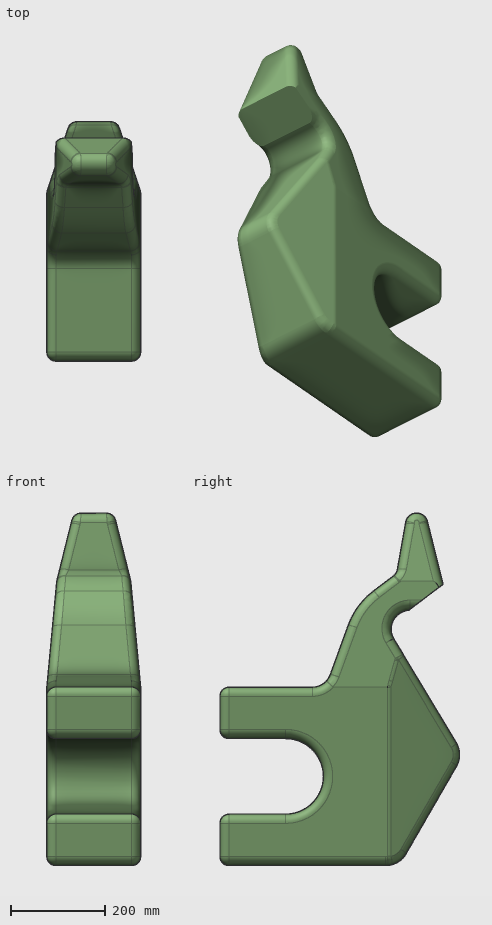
import cadquery as cq
import math

WIDTH = 200.0
DEPTH = 510.0
HEIGHT = 750.0
EDGE_RADIUS = 20.0

ARM_TOP = 380.0
SLOT_BOTTOM = 110.0
SLOT_TOP = 270.0
SLOT_CENTRE_Y = 140.0

NECK_FOOT_Y = 225.0
NECK_FOOT_RADIUS = 40.0
NECK_ANGLE = 70.0
SHOULDER_Z = 556.0
SHOULDER_ANGLE = 37.0
SHOULDER_RADIUS = 160.0

HORN_TIP_RADIUS = 24.0
HORN_TIP_CENTRE = (418.5, HEIGHT - HORN_TIP_RADIUS)
HORN_FRONT_ANGLE = 10.0
HORN_BACK_ANGLE = 14.0
HORN_FOOT_RADIUS = 20.0

HOOK_TOP = 543.0
HOOK_RADIUS = 40.0
HOOK_CENTRE_Z = HOOK_TOP - HOOK_RADIUS
CHIN_POINT = (428.0, 563.0)
CHIN_ANGLE = 37.0

NOSE_RADIUS = 50.0
NOSE_CENTRE = (DEPTH - NOSE_RADIUS, 236.0)
NOSE_UPPER_ANGLE = 31.0
NOSE_LOWER_ANGLE = 30.0
BASE_CORNER_RADIUS = 50.0

WEDGE_START_Y = 360.0
WEDGE_END_WIDTH = 100.0
WEDGE_CREASE_RADIUS = 24.0

HORN_FOOT_Z = 605.0
HORN_FOOT_WIDTH = 158.0
NECK_SIDE_SLOPE = (WIDTH - HORN_FOOT_WIDTH) / 2.0 / (HORN_FOOT_Z - ARM_TOP)
HORN_SIDE_SLOPE = math.tan(math.radians(14.0))

NECK_BASE_WIDTH = WIDTH + 2.0 * ARM_TOP * NECK_SIDE_SLOPE
HORN_BASE_WIDTH = HORN_FOOT_WIDTH + 2.0 * HORN_FOOT_Z * HORN_SIDE_SLOPE

STOCK_HEIGHT = HEIGHT + EDGE_RADIUS

TOLERANCE = 0.01


def direction(angle):
    """Unit vector in the YZ plane, `angle` degrees from +Y towards +Z."""
    return math.cos(math.radians(angle)), math.sin(math.radians(angle))


def level_line(height):
    """Horizontal line, as a (point, angle) pair like every line here."""
    return (0.0, height), 0.0


def tangent_line(centre, radius, normal_angle):
    """Line touching a circle where its outward normal has the given angle."""
    normal = direction(normal_angle)
    point = (centre[0] + radius * normal[0], centre[1] + radius * normal[1])
    return point, normal_angle + 90.0


def crossing(line_a, line_b):
    """Point where two lines cross."""
    (ya, za), angle_a = line_a
    (yb, zb), angle_b = line_b
    dir_a = direction(angle_a)
    dir_b = direction(angle_b)
    cross = dir_a[0] * dir_b[1] - dir_a[1] * dir_b[0]
    travel = ((yb - ya) * dir_b[1] - (zb - za) * dir_b[0]) / cross
    return ya + travel * dir_a[0], za + travel * dir_a[1]


def rounded_outline(plane, corners):
    """Closed outline through (point, radius) corners, each rounded by its radius."""
    outline = cq.Workplane(plane)
    for index, (point, radius) in enumerate(corners):
        corner = cq.Vector(*point)
        next_index = (index + 1) % len(corners)
        to_last = (cq.Vector(*corners[index - 1][0]) - corner).normalized()
        to_next = (cq.Vector(*corners[next_index][0]) - corner).normalized()
        half_angle = to_last.getAngle(to_next) / 2.0
        setback = radius / math.tan(half_angle)
        start = corner + to_last * setback
        if index == 0:
            outline = outline.moveTo(start.x, start.y)
        else:
            outline = outline.lineTo(start.x, start.y)
        if radius > 0.0:
            bisector = (to_last + to_next).normalized()
            middle = corner + bisector * (radius / math.sin(half_angle) - radius)
            end = corner + to_next * setback
            outline = outline.threePointArc((middle.x, middle.y), (end.x, end.y))
    return outline.close()


def mirrored(half):
    """Corners of a symmetric outline from the corners of its right-hand half."""
    return half + [((-x, other), radius) for (x, other), radius in reversed(half)]


HORN_FRONT = tangent_line(HORN_TIP_CENTRE, HORN_TIP_RADIUS, 180.0 - HORN_FRONT_ANGLE)
HORN_BACK = tangent_line(HORN_TIP_CENTRE, HORN_TIP_RADIUS, HORN_BACK_ANGLE)


def neck_corners():
    """Corners from the top of the upper arm up the front of the neck to the foot of the horn."""
    neck = ((NECK_FOOT_Y, ARM_TOP), NECK_ANGLE)
    shoulder_corner = crossing(neck, level_line(SHOULDER_Z))
    shoulder = (shoulder_corner, SHOULDER_ANGLE)
    return [
        ((0.0, ARM_TOP), 0.0),
        ((NECK_FOOT_Y, ARM_TOP), NECK_FOOT_RADIUS),
        (shoulder_corner, SHOULDER_RADIUS),
        (crossing(shoulder, HORN_FRONT), HORN_FOOT_RADIUS),
    ]


def body_block(width):
    """Straight-sided block with the arms, neck, hook and nose, and spare stock around the horn."""
    nose_upper = tangent_line(NOSE_CENTRE, NOSE_RADIUS, NOSE_UPPER_ANGLE)
    nose_lower = tangent_line(NOSE_CENTRE, NOSE_RADIUS, -NOSE_LOWER_ANGLE)
    corners = [
        ((0.0, 0.0), 0.0),
        *neck_corners(),
        (crossing(HORN_FRONT, level_line(STOCK_HEIGHT)), 0.0),
        ((DEPTH, STOCK_HEIGHT), 0.0),
        ((DEPTH, HOOK_TOP), 0.0),
        (crossing(level_line(HOOK_TOP), nose_upper), HOOK_RADIUS),
        (crossing(nose_upper, nose_lower), NOSE_RADIUS),
        (crossing(nose_lower, level_line(0.0)), BASE_CORNER_RADIUS),
    ]
    block = rounded_outline("YZ", corners).extrude(width / 2.0, both=True)
    return block.cut(slot(width))


def slot(width):
    """Cutter for the round-ended slot between the arms."""
    slot_height = SLOT_TOP - SLOT_BOTTOM
    slot_middle = (SLOT_TOP + SLOT_BOTTOM) / 2.0
    length = 2.0 * SLOT_CENTRE_Y + slot_height
    outline = cq.Workplane("YZ").center(0.0, slot_middle).slot2D(length, slot_height)
    return outline.extrude(width / 2.0, both=True)


def horn_block():
    """Straight-sided block with the outline of the neck and horn, its back running to the base."""
    corners = [
        ((0.0, 0.0), 0.0),
        *neck_corners(),
        (crossing(HORN_FRONT, HORN_BACK), HORN_TIP_RADIUS),
        (crossing(HORN_BACK, level_line(0.0)), 0.0),
    ]
    return rounded_outline("YZ", corners).extrude(HORN_BASE_WIDTH / 2.0, both=True)


def taper_envelope(base_width, side_slope):
    """Solid whose two sides close in evenly from the base upwards."""
    top_half_width = base_width / 2.0 - side_slope * STOCK_HEIGHT
    half = [((base_width / 2.0, 0.0), 0.0), ((top_half_width, STOCK_HEIGHT), 0.0)]
    return rounded_outline("XZ", mirrored(half)).extrude(-2.0 * DEPTH)


def wedge_envelope():
    """Solid whose two sides close in towards the back, with rounded creases where they start to."""
    half = [
        ((WIDTH / 2.0, 0.0), 0.0),
        ((WIDTH / 2.0, WEDGE_START_Y), WEDGE_CREASE_RADIUS),
        ((WEDGE_END_WIDTH / 2.0, DEPTH), 0.0),
    ]
    return rounded_outline("XY", mirrored(half)).extrude(STOCK_HEIGHT)


def outline_edges(solid):
    """Edges where the side faces meet the faces that run straight across the width."""
    edges = []
    for face in solid.faces().vals():
        if abs(face.normalAt().x) < TOLERANCE:
            edges += [edge for edge in face.Edges() if abs(edge.Center().x) > TOLERANCE]
    return edges


def is_spare_stock(edge):
    """True for the edges of the stock around the horn, which are trimmed away."""
    centre = edge.Center()
    behind_hook = centre.y > CHIN_POINT[0] and centre.z > HOOK_TOP - TOLERANCE
    return behind_hook or centre.z > HEIGHT


def rounded_lower_body():
    """Arms and nose between upright sides, with every edge of the outline rounded."""
    solid = body_block(WIDTH).intersect(wedge_envelope())
    outline = [edge for edge in outline_edges(solid) if not is_spare_stock(edge)]
    arm_ends = solid.edges("|X").edges("<Y").vals()
    return solid.newObject(outline + arm_ends).fillet(EDGE_RADIUS)


def rounded_neck():
    """Body between the neck's tapering sides, its outline rounded above the arms."""
    solid = body_block(NECK_BASE_WIDTH).intersect(taper_envelope(NECK_BASE_WIDTH, NECK_SIDE_SLOPE))
    outline = [
        edge
        for edge in outline_edges(solid)
        if edge.Center().z > ARM_TOP - TOLERANCE and not is_spare_stock(edge)
    ]
    return solid.newObject(outline).fillet(EDGE_RADIUS)


def rounded_horn():
    """Horn with its outline rounded, its tapering sides running down to the base."""
    solid = horn_block().intersect(taper_envelope(HORN_BASE_WIDTH, HORN_SIDE_SLOPE))
    outline = [
        edge
        for edge in outline_edges(solid)
        if edge.Center().y > TOLERANCE and edge.Center().z > TOLERANCE
    ]
    return solid.newObject(outline).fillet(EDGE_RADIUS)


def chin_cutter():
    """Stock to remove below the sloping chin."""
    chin = (CHIN_POINT, CHIN_ANGLE)
    low = crossing(chin, level_line(HOOK_TOP - HOOK_RADIUS / 2.0))
    high = crossing(chin, ((DEPTH, 0.0), 90.0))
    corners = [(low, 0.0), (high, 0.0), ((DEPTH, low[1]), 0.0)]
    return rounded_outline("YZ", corners).extrude(WIDTH / 2.0, both=True)


def lower_trim():
    """Stock to remove around the lower body, up to the level of the hook's centre."""
    stock = cq.Workplane("XY").box(HORN_BASE_WIDTH, DEPTH, HOOK_CENTRE_Z, centered=(True, False, False))
    return stock.cut(rounded_lower_body())


def round_neck_creases(solid):
    """Soften the sloping crease on each side between the neck and the wedge."""
    near = (-WIDTH, WEDGE_START_Y - TOLERANCE, ARM_TOP + TOLERANCE)
    far = (WIDTH, WEDGE_START_Y + EDGE_RADIUS, ARM_TOP + 2.0 * EDGE_RADIUS)
    creases = solid.edges(cq.selectors.BoxSelector(near, far))
    return creases.fillet(WEDGE_CREASE_RADIUS)


result = rounded_neck().intersect(rounded_horn()).cut(chin_cutter()).cut(lower_trim())
result = round_neck_creases(result)